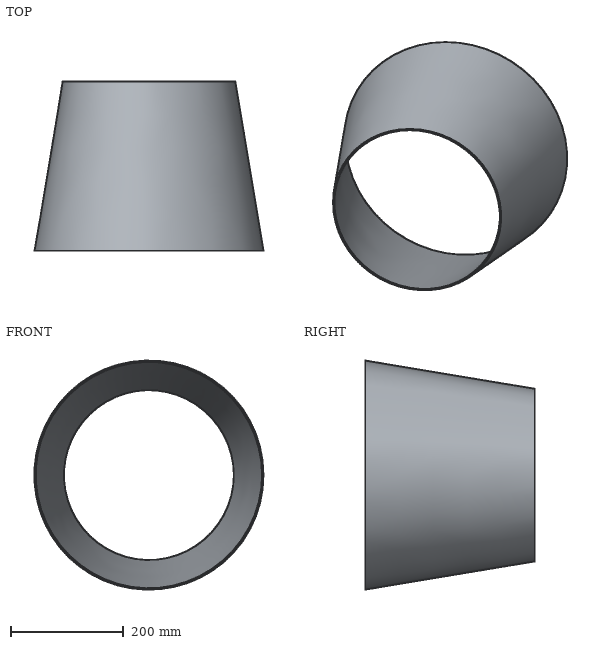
import cadquery as cq

wide_diameter = 406.0
narrow_diameter = 306.0
length = 300.0
wall = 3.0

wide_radius = wide_diameter / 2
narrow_radius = narrow_diameter / 2
wide_y = -length / 2
narrow_y = length / 2

wall_section = (
    cq.Workplane("XY")
    .moveTo(wide_radius - wall, wide_y)
    .lineTo(wide_radius, wide_y)
    .lineTo(narrow_radius, narrow_y)
    .lineTo(narrow_radius - wall, narrow_y)
    .close()
)

result = wall_section.revolve(360, (0, 0, 0), (0, 1, 0))